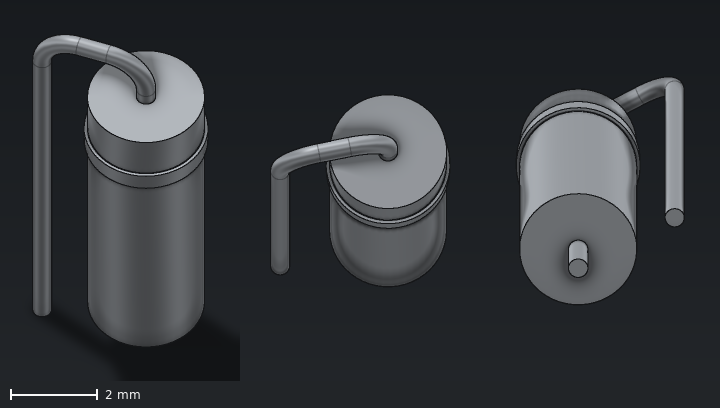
import cadquery as cq

total_height = 10.42
lead_pitch = 2.54

wire_diameter = 0.45
wire_radius = wire_diameter / 2
bend_radius = 0.91

housing_diameter = 2.71
housing_bottom = 1.38
housing_top = 9.0

band_diameter = 2.87
band_bottom = 7.4
band_height = 0.45
band_thickness = 0.09


def make_band():
    """Ring set into the housing and standing slightly proud of it."""
    return (
        cq.Workplane("XY", origin=(0, 0, band_bottom))
        .circle(band_diameter / 2)
        .circle(band_diameter / 2 - band_thickness)
        .extrude(band_height)
    )


def make_lead():
    """One wire through the housing, bent over at the top and back down beside it."""
    crown_height = total_height - wire_radius
    bend_height = crown_height - bend_radius
    path = (
        cq.Workplane("XZ")
        .lineTo(0, bend_height)
        .tangentArcPoint((-bend_radius, crown_height), relative=False)
        .lineTo(bend_radius - lead_pitch, crown_height)
        .tangentArcPoint((-lead_pitch, bend_height), relative=False)
        .lineTo(-lead_pitch, 0)
    )
    return cq.Workplane("XY").circle(wire_radius).sweep(path)


def make_housing(band, lead):
    """Solid cylinder with a groove for the band and a bore for the lead."""
    cylinder = (
        cq.Workplane("XY", origin=(0, 0, housing_bottom))
        .circle(housing_diameter / 2)
        .extrude(housing_top - housing_bottom)
    )
    return cylinder.cut(band).cut(lead)


band = make_band()
lead = make_lead()
housing = make_housing(band, lead)

result = cq.Compound.makeCompound([housing.val(), band.val(), lead.val()])